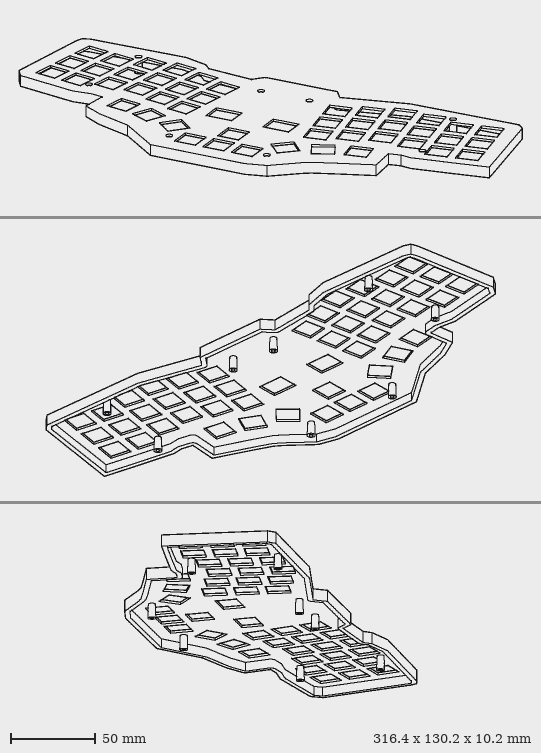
import cadquery as cq
import math

TRAY_HEIGHT = 7.0
PLATE_THICKNESS = 1.5
RIM_WIDTH = 3.2

LEFT_WING = [(-153.7, -5.0), (-158.2, 1.5), (-149.3, 58.2), (-147.7, 62.5), (-143.0, 64.2)]
LEFT_TOP_EDGE = [(-79.7, 65.2), (-64.0, 60.5), (-59.8, 56.0), (-29.7, 52.8), (-23.7, 59.5)]
RIGHT_TOP_EDGE = [(24.5, 59.5), (29.7, 52.2), (71.5, 62.5)]
RIGHT_WING = [(143.5, 63.5), (147.7, 59.8), (158.2, -3.0), (134.0, -7.3), (110.0, -11.5), (103.0, -10.5), (95.5, -12.0)]
RIGHT_BOTTOM_EDGE = [(97.0, -30.7), (73.5, -40.0), (61.0, -45.0), (56.3, -48.0), (40.2, -61.5), (27.0, -65.0)]
LEFT_BOTTOM_EDGE = [
    (-36.0, -64.5),
    (-62.0, -44.0),
    (-85.0, -36.0),
    (-97.7, -28.8),
    (-95.5, -12.0),
    (-103.0, -10.8),
    (-115.0, -12.0),
]

MIRROR_X = -0.15

KEY_SIZE = 14.0
KEY_PITCH = 19.0

BLOCK_ANGLE = 10
INNER_COLUMN = 43.3
OUTER_COLUMN = 139.0
COLUMN_TOPS = [26.0, 29.7, 33.2, 29.5, 22.5, 22.5]
ROW_COUNT = 3

THUMB_KEYS = [(78.5, -17.0, 10), (58.2, -23.7, 26), (37.0, -31.3, 42)]

CENTRE_ROW_Y = -46.0

WINDOW_WIDTH = 17.0
WINDOW_HEIGHT = 13.3
WINDOW_X = 19.0
WINDOW_Y = -2.5

STANDOFFS = [(105.0, 53.0), (111.5, 1.5), (16.0, 39.5), (32.5, -46.8)]
NECK_DIAMETER = 4.0
FOOT_DIAMETER = 4.7
STANDOFF_DROP = 3.2
SCREW_DIAMETER = 2.2
HEAD_DIAMETER = 4.0
HEAD_DEPTH = 1.0

SIDES = (-1, 1)


def make_tray():
    """Flat plate with a rim hanging from its edge."""
    outline = (
        LEFT_WING + LEFT_TOP_EDGE + RIGHT_TOP_EDGE + RIGHT_WING + RIGHT_BOTTOM_EDGE + LEFT_BOTTOM_EDGE
    )
    tray = cq.Workplane("XY").polyline(outline).close().extrude(TRAY_HEIGHT)
    hollow_height = TRAY_HEIGHT - PLATE_THICKNESS
    hollow = cq.Workplane("XY").polyline(outline).close().offset2D(-RIM_WIDTH).extrude(hollow_height)
    return tray.cut(hollow)


def block_keys():
    """Right-half key block as (x, y, turn)."""
    column_pitch = (OUTER_COLUMN - INNER_COLUMN) / (len(COLUMN_TOPS) - 1)
    cos_block = math.cos(math.radians(BLOCK_ANGLE))
    sin_block = math.sin(math.radians(BLOCK_ANGLE))
    keys = []
    for column, top in enumerate(COLUMN_TOPS):
        along = INNER_COLUMN + column * column_pitch
        for row in range(ROW_COUNT):
            across = top - row * KEY_PITCH
            x = along * cos_block - across * sin_block
            y = along * sin_block + across * cos_block
            keys.append((x, y, BLOCK_ANGLE))
    return keys


def opening(x, y, turn, width, height):
    """Rectangular cutter placed from the mirror line."""
    box = cq.Workplane("XY").rect(width, height).extrude(TRAY_HEIGHT)
    return box.rotate((0, 0, 0), (0, 0, 1), turn).translate((MIRROR_X + x, y, 0))


def cut_openings(plate):
    openings = []
    for side in SIDES:
        for x, y, turn in block_keys() + THUMB_KEYS:
            openings.append(opening(side * x, y, side * turn, KEY_SIZE, KEY_SIZE))
        openings.append(opening(side * WINDOW_X, WINDOW_Y, 0, WINDOW_WIDTH, WINDOW_HEIGHT))
        openings.append(opening(side * KEY_PITCH, CENTRE_ROW_Y, 0, KEY_SIZE, KEY_SIZE))
    for y in (CENTRE_ROW_Y, CENTRE_ROW_Y + KEY_PITCH):
        openings.append(opening(0, y, 0, KEY_SIZE, KEY_SIZE))
    for cutter in openings:
        plate = plate.cut(cutter)
    return plate


def cone(bottom, bottom_diameter, top_diameter):
    """Round solid from the given height up to the plate's top."""
    base = cq.Workplane("XY").workplane(offset=bottom).circle(bottom_diameter / 2)
    return base.workplane(offset=TRAY_HEIGHT - bottom).circle(top_diameter / 2).loft()


def add_standoffs(part):
    post = cone(-STANDOFF_DROP, FOOT_DIAMETER, NECK_DIAMETER)
    screw_hole = cone(-STANDOFF_DROP, SCREW_DIAMETER, SCREW_DIAMETER)
    head_recess = cone(TRAY_HEIGHT - HEAD_DEPTH, SCREW_DIAMETER, HEAD_DIAMETER)
    bore = screw_hole.union(head_recess)
    for side in SIDES:
        for x, y in STANDOFFS:
            place = (MIRROR_X + side * x, y, 0)
            part = part.union(post.translate(place))
            part = part.cut(bore.translate(place))
    return part


result = add_standoffs(cut_openings(make_tray()))